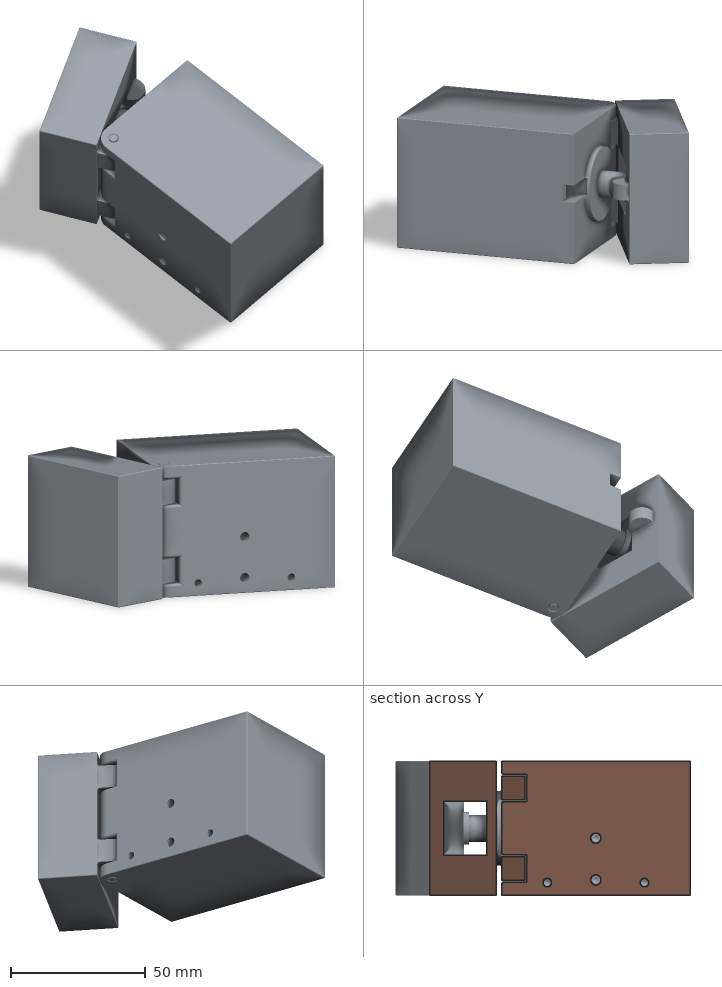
import cadquery as cq
import math

length = 70.1
side = 50.0
mid = side / 2
overcut = 1.1
corner_radius = 6.0
edge_break = 0.2

hinge_inset = 5.0
pin_diameter = 3.1
pin_chamfer = 0.5
knuckle_radius = 4.5
knuckle_height = 9.0
knuckle_gap = 0.5
window_reach = hinge_inset + knuckle_radius + knuckle_gap
knuckle_offset = 15.0
knuckle_levels = (mid - knuckle_offset, mid + knuckle_offset)
window_rounding = 1.0
root_chamfer = 0.5

lid_thickness = 22.2
open_angle = 26.4
cavity_depth = 17.5
cavity_height = 20.0
cavity_start = 12.0
cavity_end = 37.4

tongue_radius = 5.0
tongue_height = 6.0
tongue_x = 0.4
tongue_y = 42.4
latch_z = 26.9
slot_height = 6.7
slot_radius = tongue_radius + knuckle_gap
slot_line_y = 46.1

plate_diameter = 27.8
plate_thickness = 1.0
seat_height = 1.0
seat_fillet = 0.5
shaft_diameter = 10.1
shaft_depth = 5.5
head_diameter = 12.0
head_reach = 12.1
head_thickness = 2.0

screw_diameter = 2.4
screw_depth = 13.1
counterbore_diameter = 3.6
counterbore_depth = 8.7
screw_levels = (5.8, 21.3)
dowel_diameter = 3.0
dowel_depth = 8.7
dowel_level = 4.8
hole_x = length / 2
dowel_offset = 18.0
point_angle = 118.0


def upright_cylinder(x, y, z_center, radius, height):
    """Cylinder with a vertical axis, centred on z_center."""
    base = cq.Workplane("XY", origin=(x, y, z_center - height / 2))
    return base.circle(radius).extrude(height)


def block(x_range, y_range, z_center, height):
    """Box given by its X and Y spans and centred on z_center."""
    base = cq.Workplane("XY", origin=(0, 0, z_center - height / 2))
    x_size = x_range[1] - x_range[0]
    y_size = y_range[1] - y_range[0]
    return base.moveTo(x_range[0], y_range[0]).rect(x_size, y_size, centered=False).extrude(height)


def x_cylinder(x_start, x_end, diameter):
    """Cylinder along X through the middle of the housing face."""
    base = cq.Workplane("YZ", origin=(x_start, mid, mid))
    return base.circle(diameter / 2).extrude(x_end - x_start)


def y_cylinder(x, z, diameter, depth):
    """Cylinder running from the front face into the housing."""
    base = cq.Workplane("XZ", origin=(x, 0, z))
    return base.circle(diameter / 2).extrude(-depth)


def pointed_hole(x, z, diameter, depth):
    """Cutter for a blind hole in the front face, with a drill point at its end."""
    radius = diameter / 2
    point = radius / math.tan(math.radians(point_angle / 2))
    profile = (
        cq.Workplane("XY")
        .lineTo(radius, 0)
        .lineTo(radius, depth)
        .lineTo(0, depth + point)
        .close()
    )
    return profile.revolve(360, (0, 0, 0), (0, 1, 0)).translate((x, 0, z))


def knuckle_window(z_center):
    """Opening around a knuckle, rounded behind the pin and open to both hinge faces."""
    height = knuckle_height + 2 * knuckle_gap
    opening = block((-overcut, window_reach), (-overcut, window_reach), z_center, height)
    return opening.edges("|Z and >X and >Y").fillet(knuckle_radius + knuckle_gap)


def latch_slot():
    """Slot for the lid tongue: round pocket with a flat run out to the back face."""
    floor_x = tongue_x + math.sqrt(slot_radius**2 - (slot_line_y - tongue_y) ** 2)
    pocket = upright_cylinder(tongue_x, tongue_y, latch_z, slot_radius, slot_height)
    run_out = block((-overcut, floor_x), (tongue_y, side + overcut), latch_z, slot_height)
    return pocket.union(run_out)


def pin_countersink(z_face, direction):
    """Conical relief around one end of the hinge pin."""
    base = cq.Workplane("XY", origin=(hinge_inset, hinge_inset, z_face))
    mouth = base.circle(pin_diameter / 2 + pin_chamfer)
    return mouth.workplane(offset=direction * pin_chamfer).circle(pin_diameter / 2).loft()


def round_window_rim(body, z_center):
    """Round the rim of a knuckle window where it meets the front face and the corner."""
    half_height = knuckle_height / 2 + knuckle_gap
    rim = cq.selectors.BoxSelector(
        (corner_radius, -edge_break, z_center - half_height - edge_break),
        (window_reach + edge_break, edge_break, z_center + half_height + edge_break),
    )
    return body.edges(rim).fillet(window_rounding)


def add_seat(body):
    """Round seat under the plate, blended into the hinge-side face."""
    body = body.union(x_cylinder(-seat_height, 0, plate_diameter))
    foot = cq.selectors.BoxSelector(
        (-edge_break, mid - plate_diameter, mid - plate_diameter),
        (edge_break, mid + plate_diameter, mid + plate_diameter),
    )
    return body.edges(foot).edges("%CIRCLE").fillet(seat_fillet)


def make_housing():
    body = cq.Workplane("XY").box(length, side, side, centered=False)
    body = body.edges("|X or >X").chamfer(edge_break)
    body = body.edges("|Z and <X and <Y").fillet(corner_radius)
    for level in knuckle_levels:
        body = body.cut(knuckle_window(level))
        body = round_window_rim(body, level)
    body = add_seat(body)
    body = body.cut(latch_slot())
    body = body.cut(x_cylinder(-seat_height, shaft_depth, shaft_diameter))
    body = body.cut(make_hinge_pin())
    body = body.cut(pin_countersink(side, -1)).cut(pin_countersink(0, 1))
    for level in screw_levels:
        body = body.cut(y_cylinder(hole_x, level, counterbore_diameter, counterbore_depth))
        body = body.cut(pointed_hole(hole_x, level, screw_diameter, screw_depth))
    for x in (hole_x - dowel_offset, hole_x + dowel_offset):
        body = body.cut(pointed_hole(x, dowel_level, dowel_diameter, dowel_depth))
    return body


def root_bevel(y_center, z_center, width, height):
    """Tapered pad where a projection leaves the lid face; width is its full length along the lid."""
    base = cq.Workplane("YZ", origin=(0, y_center, z_center))
    foot = base.rect(width, height + 2 * root_chamfer)
    return foot.workplane(offset=root_chamfer).rect(width - 2 * root_chamfer, height).loft()


def make_knuckle(z_center):
    """Hinge knuckle: a barrel round the pin joined to the lid by a flat arm."""
    arm_span = (hinge_inset - knuckle_radius, hinge_inset + knuckle_radius)
    arm = block((0, hinge_inset), arm_span, z_center, knuckle_height)
    barrel = upright_cylinder(hinge_inset, hinge_inset, z_center, knuckle_radius, knuckle_height)
    root = root_bevel(hinge_inset, z_center, 2 * knuckle_radius, knuckle_height)
    return arm.union(barrel).union(root)


def make_tongue():
    """Round latch tongue, half sunk in the lid."""
    disc = upright_cylinder(tongue_x, tongue_y, latch_z, tongue_radius, tongue_height)
    return disc.union(root_bevel(tongue_y, latch_z, 2 * tongue_radius, tongue_height))


def make_lid():
    lid_body = block((-lid_thickness, 0), (0, side), mid, side)
    lid_body = lid_body.edges("not >X").chamfer(edge_break)
    cavity = block((-cavity_depth, 0), (cavity_start, cavity_end), mid, cavity_height)
    lid_body = lid_body.cut(cavity)
    for level in knuckle_levels:
        lid_body = lid_body.union(make_knuckle(level))
    lid_body = lid_body.union(make_tongue())
    lid_body = lid_body.cut(make_hinge_pin())
    hinge_foot = (hinge_inset, hinge_inset, 0)
    hinge_top = (hinge_inset, hinge_inset, side)
    return lid_body.rotate(hinge_foot, hinge_top, open_angle)


def make_hinge_pin():
    return upright_cylinder(hinge_inset, hinge_inset, mid, pin_diameter / 2, side)


def make_plate():
    plate = x_cylinder(-seat_height - plate_thickness, -seat_height, plate_diameter)
    return plate.cut(x_cylinder(-seat_height - plate_thickness, -seat_height, shaft_diameter))


def make_plunger():
    shaft = x_cylinder(-head_reach, shaft_depth, shaft_diameter)
    return shaft.union(x_cylinder(-head_reach - head_thickness, -head_reach, head_diameter))


housing = make_housing()
lid = make_lid()
hinge_pin = make_hinge_pin()
plate = make_plate()
plunger = make_plunger()

result = cq.Compound.makeCompound(
    [housing.val(), lid.val(), hinge_pin.val(), plate.val(), plunger.val()]
)